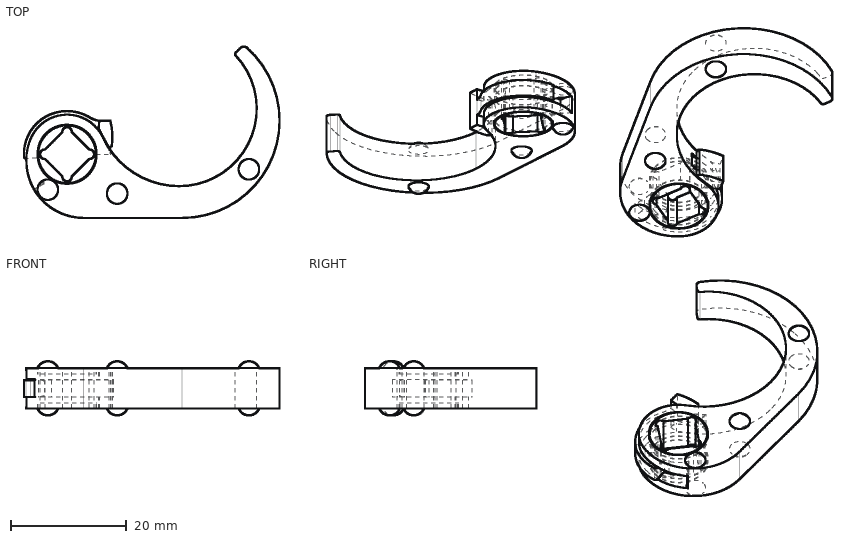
import cadquery as cq
import math


body_thickness = 7.0
top_face = body_thickness / 2
head_radius = 6.86
heel_center = (2.88, -1.1)
hook_radius = 16.87
hook_center_x = 19.93
throat_center = (19.4, 7.9)
throat_radius = 13.4
tip_angle = 44.7
tip_outer_fillet = 0.82
tip_inner_fillet = 0.4

ring_radius = 5.0
ring_gap = 0.12
ring_gap_depth = 1.0
drive_square_side = 6.55
relief_radius = 0.8
relief_reach = 4.67

slot_half_height = 1.53
slot_reach = 9.0
slot_wall_root = (-2.7, -4.25)
slot_wall_bulge = (-3.35, -4.55)
slot_wall_flat_start = (-3.9, -5.07)
slot_wall_flat_end = (-5.4, -5.87)
slot_lip_middle = (-5.6, -6.1)
slot_mouth = (-5.55, -6.43)
pawl_top = 1.43
pawl_radius = 7.5
pawl_end_y = -0.73
pawl_end_fillet = 0.35
notch_center = (-5.69, -2.38)
notch_radius = 1.77
jaw_half_height = 3.4
jaw_top_y = 5.8
jaw_top_left_x = 5.6
jaw_top_right = (7.5, jaw_top_y)
jaw_nose = (7.87, 3.0)
jaw_bottom_right = (7.75, 1.4)
jaw_bottom = (7.3, 1.05)
jaw_back = (6.5, 2.5)
jaw_back_top = (5.45, 4.5)
pawl_toe = (7.5, 0)
pawl_neck_angle = 62
neck_middle = (4.7, 6.02)

rivet_centers = [(-3.33, -6.13), (8.67, -6.8), (31.47, -2.6)]
rivet_radius = 1.92
rivet_tip_height = 4.7


def polar(center, radius, degrees):
    angle = math.radians(degrees)
    return (center[0] + radius * math.cos(angle), center[1] + radius * math.sin(angle))


def direction(start, end):
    return math.degrees(math.atan2(end[1] - start[1], end[0] - start[0]))


def ray_to_circle(start, degrees, center, radius):
    """Distance from start, inside the circle, to the circle along a direction."""
    ux, uy = polar((0, 0), 1, degrees)
    dx, dy = start[0] - center[0], start[1] - center[1]
    along = dx * ux + dy * uy
    return -along + math.sqrt(along**2 + radius**2 - dx**2 - dy**2)


def slab(outline, bottom, top):
    """Outline on the XY plane turned into a solid between two heights."""
    return outline.extrude(top - bottom).translate((0, 0, bottom))


def hook_body():
    """Flat hook: round head, heel, straight bottom edge and an open arc that ends in the tip."""
    head_center = (0, 0)
    heel_radius = head_radius + math.dist(head_center, heel_center)
    bottom_y = heel_center[1] - heel_radius
    hook_center = (hook_center_x, bottom_y + hook_radius)

    throat_bottom = polar(throat_center, throat_radius, -90)
    lead_radius = (math.hypot(*throat_bottom) ** 2 - head_radius**2) / (2 * (head_radius - throat_bottom[1]))
    lead_center = (throat_bottom[0], throat_bottom[1] + lead_radius)

    to_lead = direction(head_center, lead_center)
    to_heel = direction(heel_center, head_center)
    tip_inner = polar(throat_center, throat_radius, tip_angle)
    tip_reach = ray_to_circle(throat_center, tip_angle, hook_center, hook_radius)
    tip_outer = polar(throat_center, tip_reach, tip_angle)
    tip_outer_angle = direction(hook_center, tip_outer)

    body = slab(
        cq.Workplane("XY")
        .moveTo(heel_center[0], bottom_y)
        .lineTo(hook_center_x, bottom_y)
        .threePointArc(polar(hook_center, hook_radius, (tip_outer_angle - 90) / 2), tip_outer)
        .lineTo(*tip_inner)
        .threePointArc(
            polar(throat_center, throat_radius, (tip_angle - 90) / 2),
            throat_bottom,
        )
        .threePointArc(
            polar(lead_center, lead_radius, (to_lead - 180 - 90) / 2),
            polar(head_center, head_radius, to_lead),
        )
        .threePointArc(
            polar(head_center, head_radius, (to_lead + to_heel) / 2),
            polar(head_center, head_radius, to_heel),
        )
        .threePointArc(
            polar(heel_center, heel_radius, (to_heel + 270) / 2),
            (heel_center[0], bottom_y),
        )
        .close(),
        -top_face,
        top_face,
    )
    body = body.edges(cq.NearestToPointSelector((*tip_outer, 0))).fillet(tip_outer_fillet)
    return body.edges(cq.NearestToPointSelector((*tip_inner, 0))).fillet(tip_inner_fillet)


def ring_disc():
    return slab(cq.Workplane("XY").circle(ring_radius), -top_face, top_face)


def pawl_slot():
    """Space around the ring, open to the outside from the lower left over the top to the jaw."""
    return slab(
        cq.Workplane("XY")
        .moveTo(0, 0)
        .lineTo(*slot_wall_root)
        .threePointArc(slot_wall_bulge, slot_wall_flat_start)
        .lineTo(*slot_wall_flat_end)
        .threePointArc(slot_lip_middle, slot_mouth)
        .lineTo(-slot_reach, slot_mouth[1])
        .lineTo(-slot_reach, slot_reach)
        .lineTo(slot_reach, slot_reach)
        .lineTo(slot_reach, 0)
        .close(),
        -slot_half_height,
        slot_half_height,
    ).cut(ring_disc())


def pawl():
    """Curved arm around the ring with a thicker jaw at its upper right end."""
    rim_start_x = -math.sqrt(pawl_radius**2 - pawl_end_y**2)
    rim_middle = polar((0, 0), pawl_radius, (pawl_neck_angle + 180) / 2)
    neck_start = polar((0, 0), pawl_radius, pawl_neck_angle)
    arm = slab(
        cq.Workplane("XY")
        .moveTo(0, pawl_end_y)
        .lineTo(rim_start_x, pawl_end_y)
        .threePointArc(rim_middle, neck_start)
        .threePointArc(neck_middle, (jaw_top_left_x, jaw_top_y))
        .lineTo(*jaw_top_right)
        .threePointArc(jaw_nose, jaw_bottom_right)
        .lineTo(*jaw_bottom)
        .lineTo(*pawl_toe)
        .close(),
        -slot_half_height,
        pawl_top,
    )
    arm = arm.edges(cq.NearestToPointSelector((rim_start_x, pawl_end_y, 0))).fillet(pawl_end_fillet)
    notch = slab(
        cq.Workplane("XY").center(*notch_center).circle(notch_radius), -top_face, top_face
    )
    jaw = slab(
        cq.Workplane("XY")
        .moveTo(jaw_top_left_x, jaw_top_y)
        .lineTo(*jaw_top_right)
        .threePointArc(jaw_nose, jaw_bottom_right)
        .lineTo(*jaw_bottom)
        .threePointArc(jaw_back, jaw_back_top)
        .close(),
        -jaw_half_height,
        jaw_half_height,
    )
    return arm.cut(notch).union(jaw)


def ring_gap_grooves():
    """Narrow ring-shaped groove around the drive ring, in the top and bottom faces."""
    groove = cq.Workplane("XY").circle(ring_radius + ring_gap).circle(ring_radius)
    upper = slab(groove, top_face - ring_gap_depth, top_face)
    return upper.union(upper.mirror("XY"))


def drive_hole():
    """Square hole with its corners on the X and Y axes and a round relief in each corner."""
    square = cq.Workplane("XY").rect(drive_square_side, drive_square_side)
    reliefs = cq.Workplane("XY").polarArray(relief_reach - relief_radius, 0, 360, 4).circle(relief_radius)
    hole = slab(square, -top_face, top_face).rotate((0, 0, 0), (0, 0, 1), 45)
    return hole.union(slab(reliefs, -top_face, top_face))


def rivets():
    """Rivets with a spherical head on each side."""
    ball_height = rivet_tip_height - rivet_radius
    heads = cq.Workplane("XY")
    for side in (-1, 1):
        heads = heads.union(
            cq.Workplane("XY", origin=(0, 0, side * ball_height))
            .pushPoints(rivet_centers)
            .sphere(rivet_radius)
        )
    return heads


result = hook_body().cut(pawl_slot()).union(pawl()).union(ring_disc())
result = result.union(rivets()).cut(ring_gap_grooves()).cut(drive_hole())